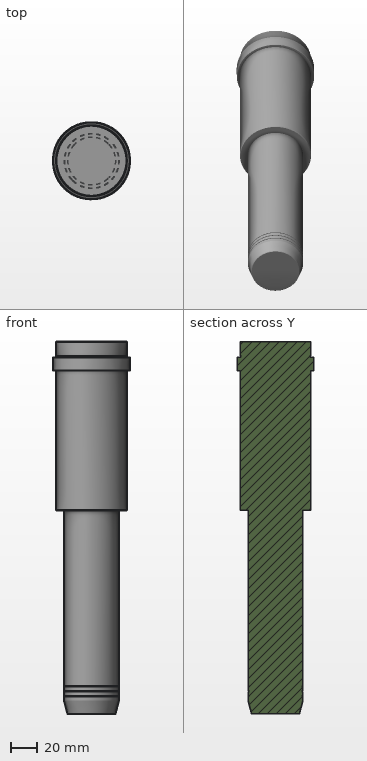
import cadquery as cq
import math

total_length = 283.0
body_diameter = 54.0
collar_diameter = 59.0

tip_diameter = 36.5
taper_length = 10.2
taper_angle = 15.0
rod_diameter = tip_diameter + 2 * taper_length * math.tan(math.radians(taper_angle))

body_bottom = 154.5
collar_top = total_length - 12.0
collar_bottom = collar_top - 10.5

body_chamfer = 0.5
collar_chamfer = 0.42
tip_chamfer = 0.3

relief_width = 1.0
relief_depth = 0.3

groove_count = 3
groove_width = 0.8
groove_depth = 0.5
groove_pitch = 3.7
lowest_groove_bottom = 13.3


def cylinder(diameter, bottom, top):
    """Cylinder on the Z axis between two heights."""
    return cq.Workplane("XY").workplane(offset=bottom).circle(diameter / 2).extrude(top - bottom)


def cut_groove(shaft, diameter, depth, bottom, width):
    """Cut a square groove around a shaft of the given diameter."""
    top = bottom + width
    ring = cylinder(diameter + 2 * depth, bottom, top).cut(cylinder(diameter - 2 * depth, bottom, top))
    return shaft.cut(ring)


def make_rod():
    """Long rod with a conical tip and a row of ring grooves."""
    profile = (
        cq.Workplane("XZ")
        .lineTo(tip_diameter / 2, 0)
        .lineTo(rod_diameter / 2, taper_length)
        .lineTo(rod_diameter / 2, body_bottom)
        .lineTo(0, body_bottom)
        .close()
    )
    rod = profile.revolve(360, (0, 0, 0), (0, 1, 0)).faces("<Z").chamfer(tip_chamfer)
    for index in range(groove_count):
        groove_bottom = lowest_groove_bottom + index * groove_pitch
        rod = cut_groove(rod, rod_diameter, groove_depth, groove_bottom, groove_width)
    return rod


def make_body():
    """Thicker upper body with chamfered ends and a relief groove above the collar."""
    body = cylinder(body_diameter, body_bottom, total_length).faces("<Z or >Z").chamfer(body_chamfer)
    return cut_groove(body, body_diameter, relief_depth, collar_top, relief_width)


def make_collar():
    """Collar around the body with both rims chamfered."""
    return cylinder(collar_diameter, collar_bottom, collar_top).faces("<Z or >Z").chamfer(collar_chamfer)


result = make_rod().union(make_body()).union(make_collar())